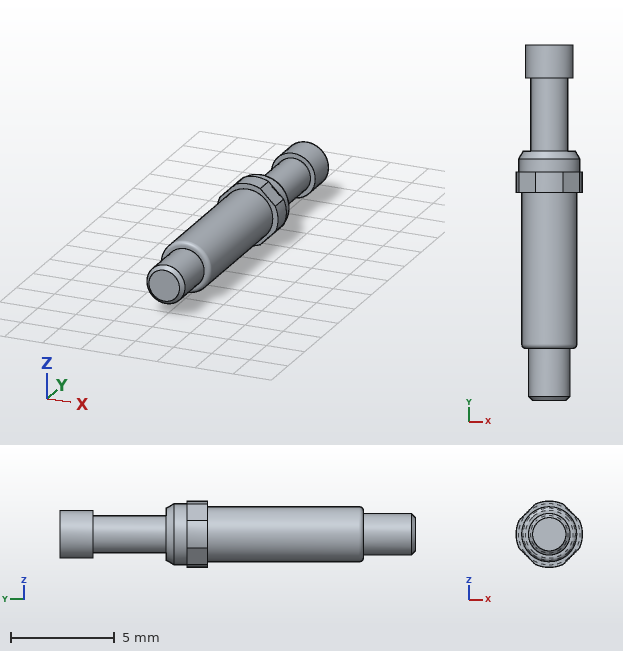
import cadquery as cq


head_diameter = 2.3
neck_diameter = 1.8
collar_diameter = 2.95
flange_diameter = 3.2
body_diameter = 2.65
tail_diameter = 2.0

head_length = 1.6
neck_length = 3.5
collar_length = 1.0
flange_length = 1.0
body_length = 7.5
tail_length = 2.5

flange_across_flats = 3.0
flat_tilt = 45.0
collar_chamfer_length = 0.38
collar_chamfer_depth = 0.22
body_end_fillet = 0.2
tail_end_chamfer = 0.2

collar_start = flange_length
neck_start = collar_start + collar_length
head_start = neck_start + neck_length


def cylinder(diameter, start, length):
    """Round section that begins at Y = start and extends toward +Y."""
    return cq.Workplane("XZ").workplane(offset=-start).circle(diameter / 2).extrude(-length)


def make_collar():
    """Collar with a conical shoulder facing the neck."""
    radius = collar_diameter / 2
    return (
        cq.Workplane("XY")
        .moveTo(0, collar_start)
        .lineTo(radius, collar_start)
        .lineTo(radius, neck_start - collar_chamfer_length)
        .lineTo(radius - collar_chamfer_depth, neck_start)
        .lineTo(0, neck_start)
        .close()
        .revolve(360, (0, 0, 0), (0, 1, 0))
    )


def make_flange():
    """Round flange cut by four flats that lie at 45 degrees to X and Z."""
    square = (
        cq.Workplane("XZ")
        .rect(flange_across_flats, flange_across_flats)
        .extrude(-flange_length)
        .rotate((0, 0, 0), (0, 1, 0), flat_tilt)
    )
    return cylinder(flange_diameter, 0, flange_length).intersect(square)


def make_body():
    """Main barrel with a rounded edge at its tail end."""
    return cylinder(body_diameter, -body_length, body_length).faces("<Y").edges().fillet(body_end_fillet)


def make_tail():
    """Terminal with a chamfered tip."""
    tail = cylinder(tail_diameter, -body_length - tail_length, tail_length)
    return tail.faces("<Y").edges().chamfer(tail_end_chamfer)


head = cylinder(head_diameter, head_start, head_length)
neck = cylinder(neck_diameter, neck_start, neck_length)

result = make_flange()
for section in (make_collar(), neck, head, make_body(), make_tail()):
    result = result.union(section)